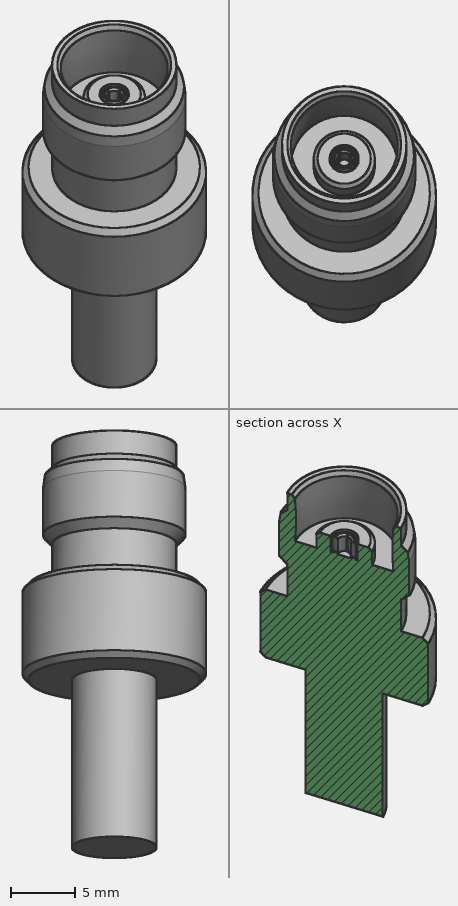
import cadquery as cq

total_height = 32.3
flange_bottom = 13.5
flange_top = 21.0
flange_chamfer = 0.5
collar_bottom = 24.42
collar_chamfer_top = 25.15
collar_taper_bottom = 28.88
collar_taper_top = 29.85
collar_top = 30.43

cable_radius = 3.3
flange_radius = 14.3 / 2
barrel_radius = 4.85
collar_radius = 5.55
collar_taper_radius = 5.43

lead_in_radius = 4.43
lead_in_depth = 0.4
bore_end_radius = 4.17
bore_waist_radius = 4.07
bore_top = total_height - lead_in_depth
bore_floor = 27.3
bore_waist_height = (bore_top + bore_floor) / 2

insulator_radius = 2.4
insulator_top = 29.07
insulator_chamfer = 0.32
insulator_hole_radius = 1.13

contact_radius = 1.0
contact_outer_chamfer = 0.15
contact_bore_radius = 0.55
contact_lead_in = 0.2
slot_width = 0.1
slot_depth = 1.6


def revolve_about_axis(outline):
    """Turn a closed XZ outline once around the Z axis."""
    return outline.revolve(360, (0, 0, 0), (0, 1, 0))


def revolve_profile(points):
    """Revolve straight-sided (radius, height) points about the Z axis."""
    return revolve_about_axis(cq.Workplane("XZ").polyline(points).close())


def make_body():
    return revolve_profile([
        (0, 0),
        (cable_radius, 0),
        (cable_radius, flange_bottom),
        (flange_radius - flange_chamfer, flange_bottom),
        (flange_radius, flange_bottom + flange_chamfer),
        (flange_radius, flange_top - flange_chamfer),
        (flange_radius - flange_chamfer, flange_top),
        (barrel_radius, flange_top),
        (barrel_radius, collar_bottom),
        (collar_radius, collar_chamfer_top),
        (collar_radius, collar_taper_bottom),
        (collar_taper_radius, collar_taper_top),
        (barrel_radius, collar_top),
        (barrel_radius, total_height),
        (0, total_height),
    ])


def make_socket_cavity():
    outline = (
        cq.Workplane("XZ")
        .moveTo(0, bore_floor)
        .lineTo(bore_end_radius, bore_floor)
        .threePointArc((bore_waist_radius, bore_waist_height), (bore_end_radius, bore_top))
        .lineTo(lead_in_radius, total_height)
        .lineTo(0, total_height)
        .close()
    )
    return revolve_about_axis(outline)


def make_insulator():
    return revolve_profile([
        (insulator_hole_radius, bore_floor),
        (insulator_radius, bore_floor),
        (insulator_radius, insulator_top - insulator_chamfer),
        (insulator_radius - insulator_chamfer, insulator_top),
        (insulator_hole_radius, insulator_top),
    ])


def make_contact():
    sleeve = revolve_profile([
        (contact_bore_radius, bore_floor),
        (contact_radius, bore_floor),
        (contact_radius, insulator_top - contact_outer_chamfer),
        (contact_radius - contact_outer_chamfer, insulator_top),
        (contact_bore_radius + contact_lead_in, insulator_top),
        (contact_bore_radius, insulator_top - contact_lead_in),
    ])
    slot_bottom = insulator_top - slot_depth
    for angle in (0, 90):
        slot = (
            cq.Workplane("XY", origin=(0, 0, slot_bottom))
            .rect(2 * insulator_hole_radius, slot_width)
            .extrude(slot_depth)
            .rotate((0, 0, 0), (0, 0, 1), angle)
        )
        sleeve = sleeve.cut(slot)
    return sleeve


result = (
    make_body()
    .cut(make_socket_cavity())
    .union(make_insulator())
    .union(make_contact())
)